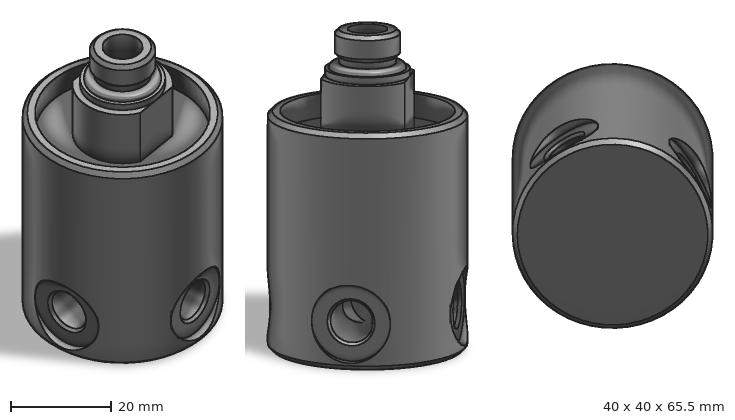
import cadquery as cq

total_height = 65.5

body_diameter = 40.0
body_height = 48.65
body_chamfer = 1.0
recess_diameter = 35.0
recess_depth = 5.0

wrench_diameter = 20.05
wrench_width = 17.0
wrench_top = 56.1
collar_diameter = 17.0
collar_top = 57.5
ring_diameter = 15.45
ring_height = 1.1
ring_rounding = 1.0
neck_diameter = 11.45
tip_diameter = 13.15
tip_height = 5.6
tip_chamfer = (tip_diameter - neck_diameter) / 2

bore_diameter = 8.0
port_diameter = 8.6
port_mouth_diameter = 9.6
port_mouth_depth = 0.7
port_height = 9.5
spotface_diameter = 16.0
spotface_depth = 1.8


def disc(diameter, bottom, top):
    """Vertical cylinder on the part axis between two heights."""
    return cq.Workplane("XY").workplane(offset=bottom).circle(diameter / 2).extrude(top - bottom)


def make_body():
    body = disc(body_diameter, 0, body_height).edges().chamfer(body_chamfer)
    return body.cut(disc(recess_diameter, body_height - recess_depth, body_height))


def make_stem():
    recess_floor = body_height - recess_depth
    flats = cq.Workplane("XY").box(wrench_width, wrench_diameter, total_height, centered=(True, True, False))
    wrench = disc(wrench_diameter, recess_floor, wrench_top).intersect(flats)
    collar = disc(collar_diameter, wrench_top, collar_top)
    ring = disc(ring_diameter, collar_top, collar_top + ring_height).edges(">Z").fillet(ring_rounding)
    tip_bottom = total_height - tip_height
    neck = disc(neck_diameter, collar_top, tip_bottom)
    tip = disc(tip_diameter, tip_bottom, total_height).edges().chamfer(tip_chamfer)
    return wrench.union(collar).union(ring).union(neck).union(tip)


def make_port():
    """Port cutter along X: from the part axis out through the +X side."""
    seat = body_diameter / 2 - spotface_depth
    hole = cq.Workplane("YZ").circle(port_diameter / 2).extrude(seat)
    mouth = (
        cq.Workplane("YZ")
        .workplane(offset=seat - port_mouth_depth)
        .circle(port_diameter / 2)
        .workplane(offset=port_mouth_depth)
        .circle(port_mouth_diameter / 2)
        .loft()
    )
    spotface = cq.Workplane("YZ").workplane(offset=seat).circle(spotface_diameter / 2).extrude(body_diameter)
    return hole.union(mouth).union(spotface).translate((0, 0, port_height))


result = make_body().union(make_stem())

result = result.cut(disc(bore_diameter, port_height, total_height))

for angle in (0, 90, 180, 270):
    result = result.cut(make_port().rotate((0, 0, 0), (0, 0, 1), angle))